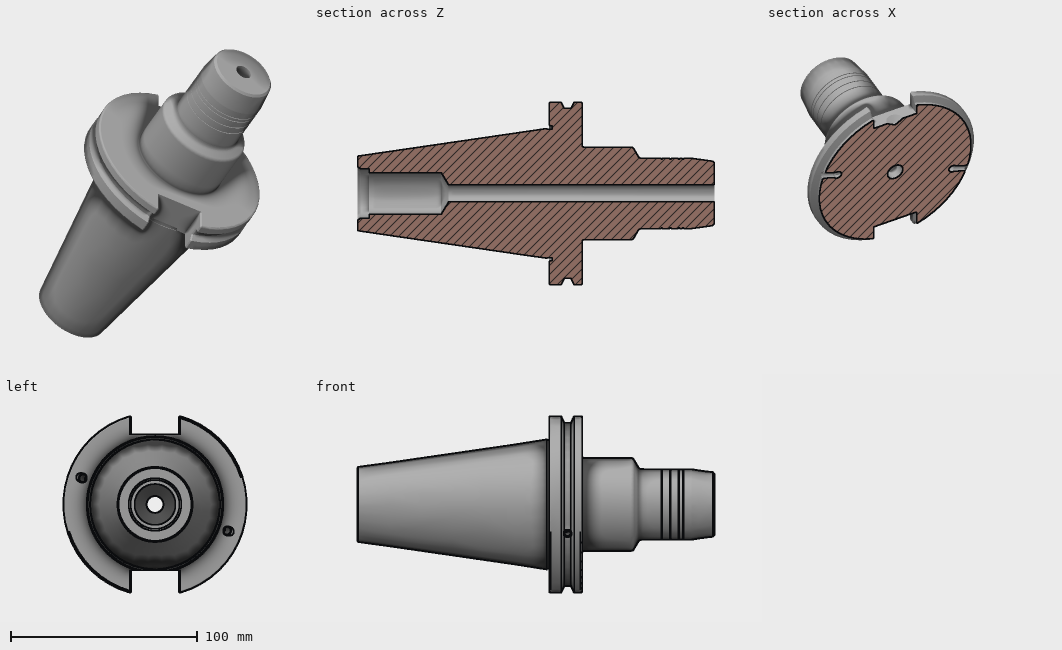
import cadquery as cq
import math


gauge_dia = 69.85
taper_ratio = 7 / 24
taper_length = 101.6
shank_chamfer = 0.6
neck_dia = 69.25

flange_dia = 98.425
flange_start = 1.2
flange_end = 19.05
rim_fillet = 1.0
relief_outer_dia = 73.4
relief_mouth_chamfer = 0.65
relief_depth = 1.5

groove_center = 11.15
groove_root_width = 3.5
groove_mouth_width = 6.9
groove_root_dia = 91.6

hub_dia = 50.0
hub_base_fillet = 0.7
shoulder_start = 46.15
shoulder_angle = 60.0
shoulder_fillet = 2.0
nose_dia = 38.0
nose_end = 90.0
nose_cone_start = 77.5
nose_cone_angle = 8.0
nose_tip_chamfer = 1.15

mark_dia = 37.0
mark_width = 0.5
mark_positions = (61.6, 66.2, 70.8, 73.1)
mark_clearance = 1.0

counterbore_dia = 26.2
counterbore_mouth_dia = 28.3
counterbore_mouth_depth = 2.0
counterbore_depth = 6.2
thread_bore_dia = 21.97
thread_bore_depth = 45.0
drill_point_angle = 118.0
through_dia = 8.92

slot_width = 25.4
slot_edge_chamfer = 0.73
upper_slot_floor = 37.7
lower_slot_floor = 35.3
dimple_dia = 9.53

coolant_angle = 20.0
coolant_mouth_radius = 42.0
coolant_tilt = 27.0
coolant_thread_dia = 5.0
coolant_thread_length = 2.0
coolant_drill_dia = 4.13
coolant_drill_length = 12.0
cross_mouth_dia = 4.2
cross_mouth_depth = 0.8
cross_dia = 3.24
cross_floor_radius = 36.2

X_AXIS = ((0, 0, 0), (1, 0, 0))
TOLERANCE = 0.05
shank_start = -taper_length


def revolve_profile(points):
    """Solid of revolution about X from (x, radius) points, closed along the axis."""
    closed = [(points[0][0], 0)] + points + [(points[-1][0], 0)]
    return cq.Workplane("XY").polyline(closed).close().revolve(360, *X_AXIS)


def ring(start, end, inner_dia, outer_dia):
    """Plain ring about X."""
    outer = revolve_profile([(start, outer_dia / 2), (end, outer_dia / 2)])
    inner = revolve_profile([(start, inner_dia / 2), (end, inner_dia / 2)])
    return outer.cut(inner)


def edge_at(x, radius):
    """Selector box around the circular edge of the given radius at x."""
    reach = radius + TOLERANCE
    low = (x - TOLERANCE, -reach, -reach)
    high = (x + TOLERANCE, reach, reach)
    return cq.selectors.BoxSelector(low, high, boundingbox=True)


def make_shank():
    small_radius = (gauge_dia - taper_length * taper_ratio) / 2
    chamfered_radius = small_radius - shank_chamfer
    return revolve_profile([
        (shank_start, chamfered_radius),
        (shank_start + shank_chamfer, small_radius + shank_chamfer * taper_ratio / 2),
        (0, gauge_dia / 2),
        (0, neck_dia / 2),
        (flange_end, neck_dia / 2),
    ])


def make_flange():
    radius = flange_dia / 2
    root_radius = groove_root_dia / 2
    flange = revolve_profile([
        (flange_start, radius),
        (groove_center - groove_mouth_width / 2, radius),
        (groove_center - groove_root_width / 2, root_radius),
        (groove_center + groove_root_width / 2, root_radius),
        (groove_center + groove_mouth_width / 2, radius),
        (flange_end, radius),
    ])
    for face in (flange_start, flange_end):
        flange = flange.edges(edge_at(face, radius)).fillet(rim_fillet)
    mouth_radius = relief_outer_dia / 2
    inner_radius = mouth_radius - relief_mouth_chamfer
    relief = revolve_profile([
        (flange_start, mouth_radius),
        (flange_start + relief_mouth_chamfer, inner_radius),
        (flange_start + relief_depth, inner_radius),
    ])
    return cut_slots(flange).cut(relief)


def cut_slots(flange):
    """Two drive slots of different depth, with broken edges where the walls meet the rim."""
    middle = (flange_start + flange_end) / 2
    for side, floor in ((1, upper_slot_floor), (-1, lower_slot_floor)):
        slot = cq.Workplane("XY").box(flange_dia, slot_width, flange_dia)
        slot = slot.translate((middle, 0, side * (floor + flange_dia / 2)))
        flange = flange.cut(slot)
    rim_floor = upper_slot_floor + 1
    rim_edges = []
    for edge in flange.edges().vals():
        center = edge.Center()
        on_wall = abs(abs(center.y) - slot_width / 2) < 0.01
        on_face = edge.BoundingBox().xlen < 0.01
        if on_wall and not on_face and abs(center.z) > rim_floor:
            rim_edges.append(edge)
    return flange.newObject(rim_edges).chamfer(slot_edge_chamfer)


def make_front_end():
    hub_radius = hub_dia / 2
    nose_radius = nose_dia / 2
    shoulder_end = shoulder_start + (hub_radius - nose_radius) / math.tan(math.radians(shoulder_angle))
    cone_slope = math.tan(math.radians(nose_cone_angle))
    tip_start = nose_end - nose_tip_chamfer
    tip_radius = nose_radius - (tip_start - nose_cone_start) * cone_slope
    front = revolve_profile([
        (groove_center, hub_radius),
        (shoulder_start, hub_radius),
        (shoulder_end, nose_radius),
        (nose_cone_start, nose_radius),
        (tip_start, tip_radius),
        (nose_end, tip_radius - nose_tip_chamfer),
    ])
    front = front.edges(edge_at(shoulder_start, hub_radius)).fillet(shoulder_fillet)
    front = front.edges(edge_at(shoulder_end, nose_radius)).fillet(shoulder_fillet)
    for position in mark_positions:
        start = position - mark_width / 2
        front = front.cut(ring(start, start + mark_width, mark_dia, nose_dia + mark_clearance))
    return front


def make_shank_bore():
    point_length = (thread_bore_dia - through_dia) / 2 / math.tan(math.radians(drill_point_angle / 2))
    counterbore_end = shank_start + counterbore_depth
    thread_end = shank_start + thread_bore_depth
    return revolve_profile([
        (shank_start, counterbore_mouth_dia / 2),
        (shank_start + counterbore_mouth_depth, counterbore_dia / 2),
        (counterbore_end, counterbore_dia / 2),
        (counterbore_end, thread_bore_dia / 2),
        (thread_end, thread_bore_dia / 2),
        (thread_end + point_length, through_dia / 2),
        (nose_end, through_dia / 2),
    ])


def make_dimple():
    """Conical drill point in the floor of the upper slot."""
    radius = dimple_dia / 2
    depth = radius / math.tan(math.radians(drill_point_angle / 2))
    mouth = cq.Vector(groove_center, 0, upper_slot_floor)
    cone = cq.Solid.makeCone(radius, 0, depth, mouth, cq.Vector(0, 0, -1))
    return cq.Workplane(obj=cone)


def make_coolant_bores():
    """Stepped bore tilted towards the axis, met by a stepped radial bore from the gripper groove."""
    tilt = math.radians(coolant_tilt)
    inward = cq.Vector(math.cos(tilt), -math.sin(tilt), 0)
    mouth = cq.Vector(flange_start, coolant_mouth_radius, 0)
    overrun = coolant_thread_dia
    thread_length = coolant_thread_length + overrun
    thread = cq.Solid.makeCylinder(coolant_thread_dia / 2, thread_length, mouth - inward * overrun, inward)
    drill_length = coolant_thread_length + coolant_drill_length
    drill = cq.Solid.makeCylinder(coolant_drill_dia / 2, drill_length, mouth, inward)

    outward = cq.Vector(0, 1, 0)
    rim_radius = flange_dia / 2
    step_radius = groove_root_dia / 2 - cross_mouth_depth
    step_center = cq.Vector(groove_center, step_radius, 0)
    cross_mouth = cq.Solid.makeCylinder(cross_mouth_dia / 2, rim_radius - step_radius, step_center, outward)
    floor_center = cq.Vector(groove_center, cross_floor_radius, 0)
    cross = cq.Solid.makeCylinder(cross_dia / 2, rim_radius - cross_floor_radius, floor_center, outward)

    bores = cq.Workplane(obj=thread)
    for cutter in (drill, cross_mouth, cross):
        bores = bores.union(cq.Workplane(obj=cutter))
    return bores.rotate(*X_AXIS, coolant_angle)


body = make_flange().union(make_shank()).union(make_front_end())
body = body.edges(edge_at(flange_end, hub_dia / 2)).fillet(hub_base_fillet)
body = body.cut(make_shank_bore()).cut(make_dimple())
coolant_bores = make_coolant_bores()
for turn in (0, 180):
    body = body.cut(coolant_bores.rotate(*X_AXIS, turn))

result = body